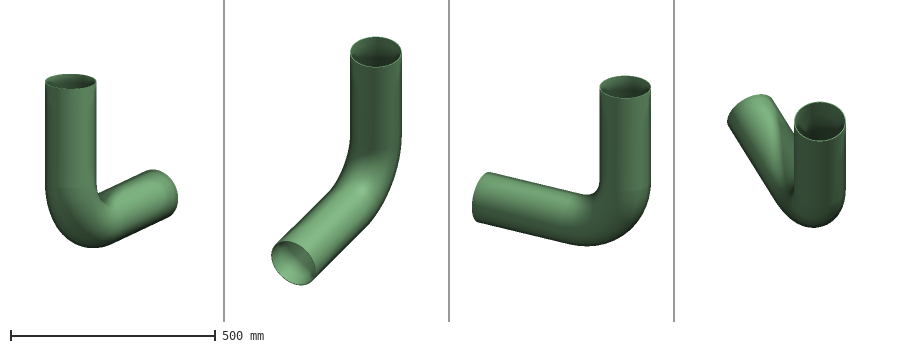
import cadquery as cq

outer_diameter = 127.0
inner_diameter = 122.78
overall_length = 457.2
inside_bend_radius = 76.2

outer_radius = outer_diameter / 2
inner_radius = inner_diameter / 2
bend_radius = inside_bend_radius + outer_radius
bend_angle = 90
leg_end = overall_length - outer_radius
leg_length = leg_end - bend_radius


def tube_section(plane):
    """Ring-shaped tube cross-section centred on the plane origin."""
    return cq.Workplane(plane).circle(outer_radius).circle(inner_radius)


def make_vertical_leg():
    """Straight leg rising from the bend along +Z."""
    start = cq.Plane(origin=(0, 0, bend_radius), xDir=(1, 0, 0), normal=(0, 0, 1))
    return tube_section(start).extrude(leg_length)


def make_horizontal_leg():
    """Straight leg running from the bend along +Y."""
    start = cq.Plane(origin=(0, bend_radius, 0), xDir=(1, 0, 0), normal=(0, 1, 0))
    return tube_section(start).extrude(leg_length)


def make_bend():
    """Quarter torus from the foot of the vertical leg to the horizontal leg."""
    start = cq.Plane(origin=(0, 0, bend_radius), xDir=(1, 0, 0), normal=(0, 0, 1))
    return tube_section(start).revolve(bend_angle, (0, bend_radius), (1, bend_radius))


result = make_bend().union(make_vertical_leg()).union(make_horizontal_leg())